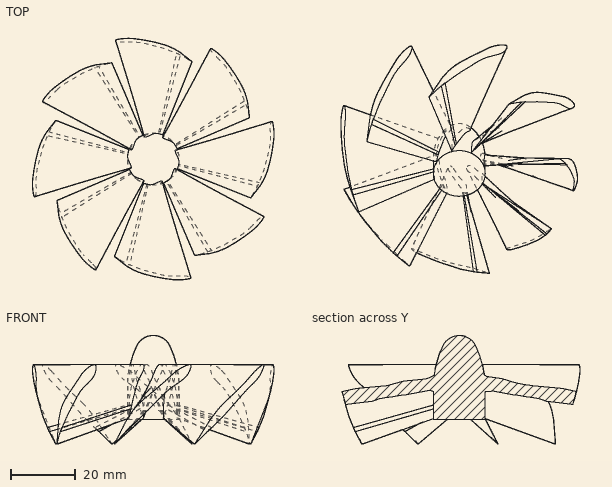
import cadquery as cq
import math

hub_radius = 16.0 / 2
hub_shoulder_z = 10.05
dome_radius = 5.2
dome_z = 22.6
hub_top_z = 26.0

blade_count = 8
blade_top_z = 17.1
nose_radius = 0.8
leading_slope = 0.3
trailing_slope = -0.4
trailing_start_z = 3.2
trailing_drop = 0.36
root_station = 4.5
outer_station = 41.7
root_thickness = 1.95
outer_thickness = 3.4
upper_shape = [(0.2, 0.52), (0.45, 0.95), (0.75, 0.7)]
lower_shape = [(0.8, -0.28), (0.5, -0.16), (0.2, -0.05)]

tip_top_radius = 38.5
tip_middle = (35.1, 4.6)
tip_bottom = (32.35, -7.45)


def dome_arc_middle():
    """Middle of the spherical dome arc, which is centred on the axis."""
    height = hub_top_z - dome_z
    sphere_radius = (dome_radius**2 + height**2) / (2 * height)
    half_angle = math.asin(dome_radius / sphere_radius) / 2
    center_z = hub_top_z - sphere_radius
    return (
        sphere_radius * math.sin(half_angle),
        center_z + sphere_radius * math.cos(half_angle),
    )


def make_hub():
    profile = (
        cq.Workplane("XZ")
        .lineTo(hub_radius, 0)
        .lineTo(hub_radius, hub_shoulder_z)
        .tangentArcPoint((dome_radius, dome_z), relative=False)
        .threePointArc(dome_arc_middle(), (0, hub_top_z))
        .close()
    )
    return profile.revolve(360, (0, 0, 0), (0, 1, 0))


def blade_section(station, thickness):
    """Airfoil wire in the plane X = station, with a sharp trailing edge."""
    trailing = cq.Vector(station, trailing_slope * station, trailing_start_z - trailing_drop * station)
    nose = cq.Vector(station, leading_slope * station, blade_top_z - nose_radius)
    chord = nose - trailing
    along = chord.normalized()
    across = cq.Vector(1, 0, 0).cross(along)

    def surface_points(shape):
        return [trailing + chord * part + across * (thickness * rise) for part, rise in shape]

    nose_tip = nose + along * nose_radius
    upper_points = surface_points(upper_shape) + [nose + across * nose_radius]
    lower_points = [nose - across * nose_radius] + surface_points(lower_shape)
    upper_start = (upper_points[0] - trailing).normalized()
    lower_end = (trailing - lower_points[-1]).normalized()
    upper = cq.Edge.makeSpline([trailing] + upper_points + [nose_tip], tangents=[upper_start, -across])
    lower = cq.Edge.makeSpline([nose_tip] + lower_points + [trailing], tangents=[-across, lower_end])
    return cq.Wire.assembleEdges([upper, lower])


def make_tip_envelope():
    profile = (
        cq.Workplane("XZ")
        .moveTo(0, tip_bottom[1])
        .lineTo(*tip_bottom)
        .threePointArc(tip_middle, (tip_top_radius, blade_top_z))
        .lineTo(0, blade_top_z)
        .close()
    )
    return profile.revolve(360, (0, 0, 0), (0, 1, 0))


def make_blade():
    sections = [
        blade_section(root_station, root_thickness),
        blade_section(outer_station, outer_thickness),
    ]
    blade = cq.Workplane(cq.Solid.makeLoft(sections, True))
    return blade.intersect(make_tip_envelope())


result = make_hub()
blade = make_blade()
for index in range(blade_count):
    angle = index * 360 / blade_count
    result = result.union(blade.rotate((0, 0, 0), (0, 0, 1), angle))